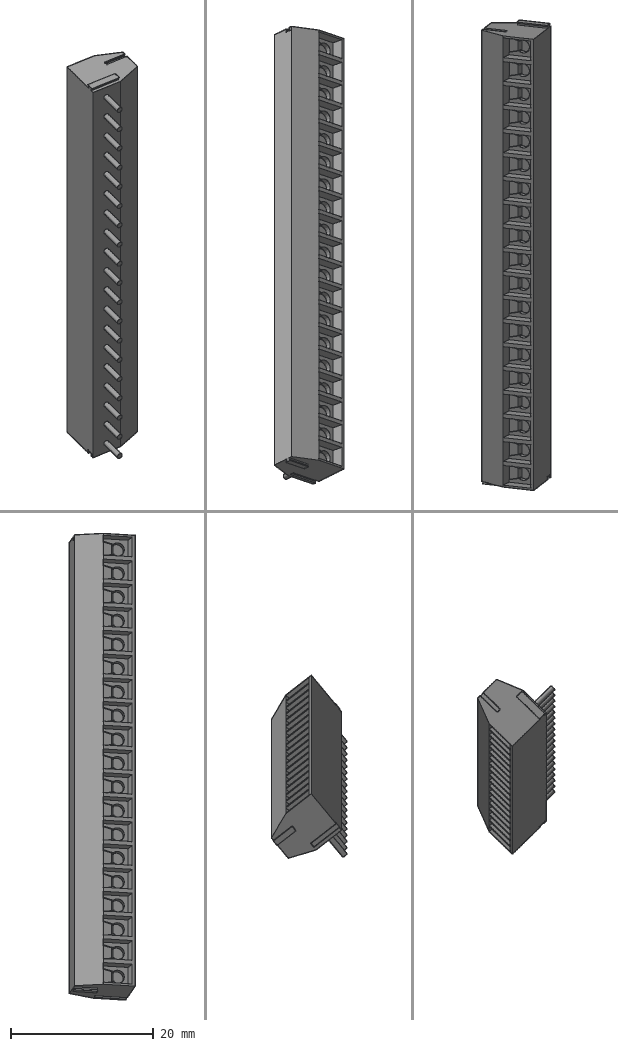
import cadquery as cq

CELL_COUNT = 19
PITCH = 3.5
HOUSING_LENGTH = CELL_COUNT * PITCH
OVERALL_LENGTH = 67.46
OVERALL_DEPTH = 10.3
HOUSING_DEPTH = 6.8
HOUSING_HEIGHT = 8.4
SHOULDER_Y = 4.6
FLANK_INSET = 1.5

PIN_DIAMETER = 0.8
PIN_LENGTH = OVERALL_DEPTH - HOUSING_DEPTH
PIN_Y = 2.2
PIN_EMBED = 1.0

POCKET_WIDTH = 2.9
POCKET_LOW_Y = 0.45
POCKET_HIGH_Y = SHOULDER_Y
POCKET_TAPER = 0.27
POCKET_DEPTH = 1.6

WIRE_HOLE_DIAMETER = 1.9
WIRE_HOLE_Y = 2.2
WIRE_HOLE_DEPTH = 0.8
LEAD_IN_DEPTH = 0.3
LEAD_IN_HIGH_Y = POCKET_HIGH_Y - POCKET_TAPER
LEAD_IN_RAMP_HIGH_Y = 3.05
LEAD_IN_RAMP_LOW_Y = 2.7
LEAD_IN_WIDE = 2.2
LEAD_IN_NARROW = 1.4

DOVETAIL_HEIGHT = (OVERALL_LENGTH - HOUSING_LENGTH) / 2
DOVETAIL_FLARE_HEIGHT = 0.25
LOWER_DOVETAIL_X = 5.95
LOWER_DOVETAIL_WIDE = 1.1
LOWER_DOVETAIL_NARROW = 0.7
LOWER_DOVETAIL_HIGH_Y = SHOULDER_Y
UPPER_DOVETAIL_X = 2.3
UPPER_DOVETAIL_WIDE = 0.9
UPPER_DOVETAIL_NARROW = 0.6
UPPER_DOVETAIL_LENGTH = 3.4


def cell_center_z(index):
    return (index + 0.5) * PITCH


def make_housing():
    outline = [
        (0, 0),
        (HOUSING_DEPTH, 0),
        (HOUSING_DEPTH, SHOULDER_Y),
        (HOUSING_DEPTH - FLANK_INSET, HOUSING_HEIGHT),
        (FLANK_INSET, HOUSING_HEIGHT),
        (0, SHOULDER_Y),
    ]
    return cq.Workplane("XY").polyline(outline).close().extrude(HOUSING_LENGTH)


def make_pin(center_z):
    return (
        cq.Workplane("YZ", origin=(HOUSING_DEPTH - PIN_EMBED, PIN_Y, center_z))
        .circle(PIN_DIAMETER / 2)
        .extrude(PIN_EMBED + PIN_LENGTH)
    )


def make_pocket(center_z):
    """Opening in the -X face whose low and high walls close in toward the floor."""
    section = [
        (0, POCKET_LOW_Y),
        (POCKET_DEPTH, POCKET_LOW_Y + POCKET_TAPER),
        (POCKET_DEPTH, POCKET_HIGH_Y - POCKET_TAPER),
        (0, POCKET_HIGH_Y),
    ]
    return (
        cq.Workplane("XY", origin=(0, 0, center_z - POCKET_WIDTH / 2))
        .polyline(section)
        .close()
        .extrude(POCKET_WIDTH)
    )


def make_keyhole(center_z):
    """Round wire hole joined by a tapering lead-in with a ramp down into the hole."""
    wire_hole = (
        cq.Workplane("YZ", origin=(POCKET_DEPTH, WIRE_HOLE_Y, center_z))
        .circle(WIRE_HOLE_DIAMETER / 2)
        .extrude(WIRE_HOLE_DEPTH)
    )
    lead_in_plan = [
        (LEAD_IN_HIGH_Y, -LEAD_IN_WIDE / 2),
        (LEAD_IN_HIGH_Y, LEAD_IN_WIDE / 2),
        (LEAD_IN_RAMP_LOW_Y, LEAD_IN_NARROW / 2),
        (LEAD_IN_RAMP_LOW_Y, -LEAD_IN_NARROW / 2),
    ]
    lead_in = (
        cq.Workplane("YZ", origin=(POCKET_DEPTH, 0, center_z))
        .polyline(lead_in_plan)
        .close()
        .extrude(WIRE_HOLE_DEPTH)
    )
    ramp_section = [
        (POCKET_DEPTH, LEAD_IN_HIGH_Y),
        (POCKET_DEPTH + LEAD_IN_DEPTH, LEAD_IN_HIGH_Y),
        (POCKET_DEPTH + LEAD_IN_DEPTH, LEAD_IN_RAMP_HIGH_Y),
        (POCKET_DEPTH + WIRE_HOLE_DEPTH, LEAD_IN_RAMP_LOW_Y),
        (POCKET_DEPTH, LEAD_IN_RAMP_LOW_Y),
    ]
    ramp = (
        cq.Workplane("XY", origin=(0, 0, center_z - LEAD_IN_WIDE / 2))
        .polyline(ramp_section)
        .close()
        .extrude(LEAD_IN_WIDE)
    )
    below_ramp = (
        cq.Workplane("XY", origin=(POCKET_DEPTH, 0, center_z))
        .box(WIRE_HOLE_DEPTH, LEAD_IN_RAMP_LOW_Y, WIRE_HOLE_DIAMETER, centered=(False, False, True))
    )
    return wire_hole.intersect(below_ramp).union(lead_in.intersect(ramp))


def make_dovetail(center_x, wide, narrow, wide_z, narrow_z, start_y, end_y):
    """Bar along Y with a straight neck at narrow_z that flares out to its full width at wide_z."""
    neck_z = wide_z + (narrow_z - wide_z) * DOVETAIL_FLARE_HEIGHT / DOVETAIL_HEIGHT
    section = [
        (center_x - narrow / 2, neck_z),
        (center_x - narrow / 2, narrow_z),
        (center_x + narrow / 2, narrow_z),
        (center_x + narrow / 2, neck_z),
        (center_x + wide / 2, wide_z),
        (center_x - wide / 2, wide_z),
    ]
    return (
        cq.Workplane("XZ", origin=(0, start_y, 0))
        .polyline(section)
        .close()
        .extrude(start_y - end_y)
    )


def make_lower_dovetail(base_z):
    """Dovetail low on the housing, rising from base_z."""
    return make_dovetail(
        LOWER_DOVETAIL_X,
        LOWER_DOVETAIL_WIDE,
        LOWER_DOVETAIL_NARROW,
        base_z + DOVETAIL_HEIGHT,
        base_z,
        0,
        LOWER_DOVETAIL_HIGH_Y,
    )


def make_upper_dovetail(root_z):
    """Dovetail high on the housing, hanging down from root_z."""
    return make_dovetail(
        UPPER_DOVETAIL_X,
        UPPER_DOVETAIL_WIDE,
        UPPER_DOVETAIL_NARROW,
        root_z - DOVETAIL_HEIGHT,
        root_z,
        HOUSING_HEIGHT - UPPER_DOVETAIL_LENGTH,
        HOUSING_HEIGHT,
    )


result = make_housing()
for cell in range(CELL_COUNT):
    z = cell_center_z(cell)
    result = result.cut(make_pocket(z)).cut(make_keyhole(z)).union(make_pin(z))

result = result.union(make_lower_dovetail(HOUSING_LENGTH)).cut(make_lower_dovetail(0))
result = result.union(make_upper_dovetail(0)).cut(make_upper_dovetail(HOUSING_LENGTH))